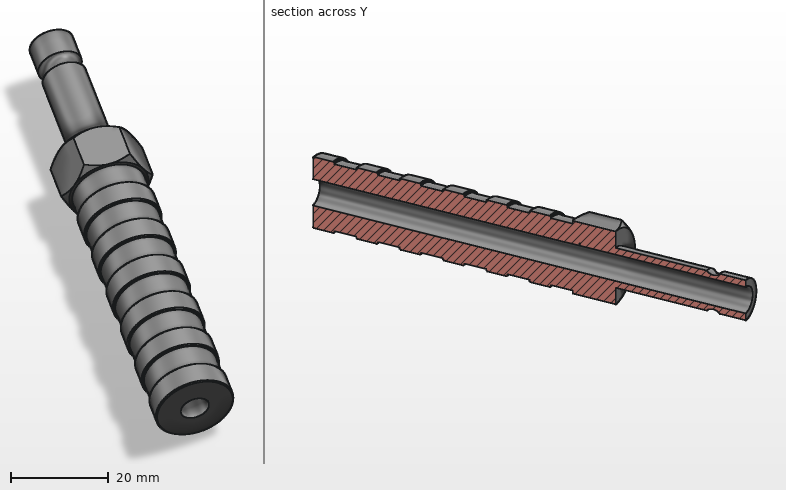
import cadquery as cq
import math

total_length = 100.0
hex_start = 30.0
hex_length = 10.0
hex_end = hex_start + hex_length

tube_diameter = 9.4
groove_start = 6.0
groove_width = 3.0
groove_radius = 2.0
groove_depth = groove_radius - math.sqrt(groove_radius**2 - (groove_width / 2) ** 2)

hex_across_flats = 17.0
hex_across_corners = hex_across_flats / math.cos(math.radians(30))
hex_face_diameter = hex_across_flats
hex_bevel_angle = 45.0

tail_diameter = 15.65
rib_height = 0.5
rib_diameter = tail_diameter + 2 * rib_height
rib_count = 6
rib_pitch = (total_length - hex_end) / rib_count
rib_width = rib_pitch / 2
rib_chamfer = rib_height / 2

bore_diameter = 6.0


def cylinder(start, length, diameter):
    """Solid cylinder on the X axis."""
    return cq.Workplane("YZ", origin=(start, 0, 0)).circle(diameter / 2).extrude(length)


def revolve_about_x(profile):
    """Full turn of an XY profile about the X axis."""
    return profile.revolve(360, (0, 0, 0), (1, 0, 0))


def make_tube():
    tube = cylinder(0, hex_end, tube_diameter)
    radius = tube_diameter / 2
    groove_middle = (groove_start + groove_width / 2, radius - groove_depth)
    groove = revolve_about_x(
        cq.Workplane("XY")
        .moveTo(groove_start, radius)
        .threePointArc(groove_middle, (groove_start + groove_width, radius))
        .close()
    )
    return tube.cut(groove)


def make_hexagon():
    """Hexagonal prism with its corners turned off conically at both ends."""
    prism = (
        cq.Workplane("YZ", origin=(hex_start, 0, 0))
        .polygon(6, hex_across_corners)
        .extrude(hex_length)
    )
    face_radius = hex_face_diameter / 2
    corner_radius = hex_across_corners / 2
    bevel_length = (corner_radius - face_radius) / math.tan(math.radians(hex_bevel_angle))
    envelope = revolve_about_x(
        cq.Workplane("XY")
        .moveTo(hex_start, 0)
        .lineTo(hex_start, face_radius)
        .lineTo(hex_start + bevel_length, corner_radius)
        .lineTo(hex_end - bevel_length, corner_radius)
        .lineTo(hex_end, face_radius)
        .lineTo(hex_end, 0)
        .close()
    )
    return prism.intersect(envelope)


def make_hose_tail():
    tail = cylinder(hex_end, total_length - hex_end, tail_diameter)
    for index in range(rib_count):
        rib_start = hex_end + (index + 1) * rib_pitch - rib_width
        rib = cylinder(rib_start, rib_width, rib_diameter).edges().chamfer(rib_chamfer)
        tail = tail.union(rib)
    return tail


body = make_tube().union(make_hexagon()).union(make_hose_tail())
result = body.cut(cylinder(0, total_length, bore_diameter))